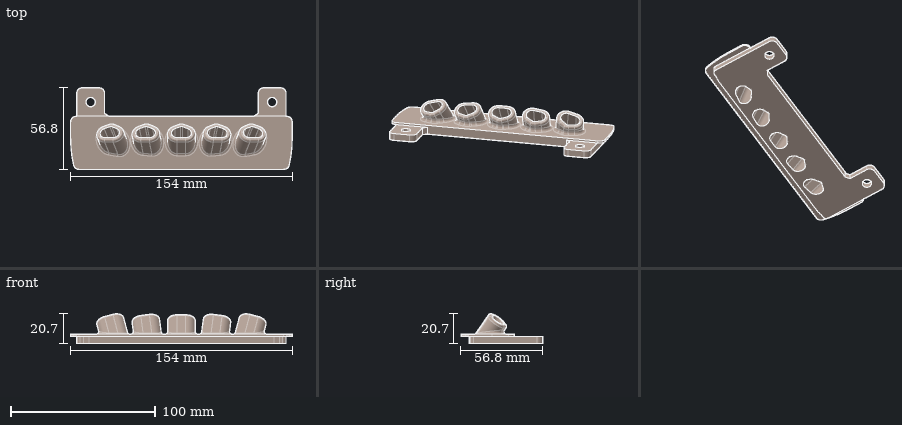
import cadquery as cq
import math

base_width = 145.5
base_thickness = 5.0
base_front = 5.5
base_back = 56.8
base_corner_radius = 2.5
front_ear_setback = 0.6
front_ear_width = 4.8
front_ear_slope_width = 3.7

tab_width = 19.5
tab_corner_radius = 4.0
tab_hole_diameter = 6.3
tab_hole_to_back = 10.0
tab_gusset_width = 2.9
tab_gusset_length = 2.0

plate_width = 154.0
plate_depth = 37.0
plate_thickness = 1.5
plate_straight_end_start = 21.5
plate_end_arc_radius = 82.0
plate_corner_radius = 4.0
plate_top = base_thickness + plate_thickness

sockets_per_side = 2
socket_pitch = 23.5
socket_fan_step = 7.5
socket_lean = 33.5
socket_center_y = 18.45
socket_length = 12.53
socket_wall = 2.75
socket_root_fillet = 1.75
socket_rim_fillet = 1.5

bore_half_width = 6.9
bore_roof_angle = 24.0
bore_side_radius = 3.9
bore_apex_radius = 1.7

buried_length = 12.0
bore_cut_reach = 30.0


def make_base():
    half = base_width / 2
    ear_x = half - front_ear_width
    slope_x = ear_x - front_ear_slope_width
    ear_y = base_front + front_ear_setback
    tab_x = half - tab_width
    right_side = [
        (slope_x, base_front),
        (ear_x, ear_y),
        (half, ear_y),
        (half, base_back),
        (tab_x, base_back),
        (tab_x, plate_depth + tab_gusset_length),
        (tab_x - tab_gusset_width, plate_depth),
    ]
    left_side = [(-x, y) for x, y in reversed(right_side)]
    slab = cq.Workplane("XY").polyline(right_side + left_side).close().extrude(base_thickness)
    slab = slab.edges("|Z").edges(">Y").fillet(tab_corner_radius)
    for side in (-1, 1):
        front_corner = cq.selectors.NearestToPointSelector((side * half, ear_y, base_thickness / 2))
        slab = slab.edges("|Z").edges(front_corner).fillet(base_corner_radius)
    hole_x = half - tab_width / 2
    hole_y = base_back - tab_hole_to_back
    holes = (
        cq.Workplane("XY")
        .pushPoints([(-hole_x, hole_y), (hole_x, hole_y)])
        .circle(tab_hole_diameter / 2)
        .extrude(base_thickness)
    )
    return slab.cut(holes)


def make_plate():
    half = plate_width / 2

    def end_x(y):
        drop = plate_straight_end_start - y
        return half - plate_end_arc_radius + math.sqrt(plate_end_arc_radius**2 - drop**2)

    mid_y = plate_straight_end_start / 2
    plate = (
        cq.Workplane("XY", origin=(0, 0, base_thickness))
        .moveTo(-end_x(0), 0)
        .lineTo(end_x(0), 0)
        .threePointArc((end_x(mid_y), mid_y), (half, plate_straight_end_start))
        .lineTo(half, plate_depth)
        .lineTo(-half, plate_depth)
        .lineTo(-half, plate_straight_end_start)
        .threePointArc((-end_x(mid_y), mid_y), (-end_x(0), 0))
        .close()
        .extrude(plate_thickness)
    )
    return plate.edges("|Z and (<Y or >Y)").fillet(plate_corner_radius)


def socket_prism(growth, bottom, top):
    """Prism with a flat front, one arc round each side and a ridged back, grown outward from the bore."""
    slope = math.radians(bore_roof_angle)
    side_radius = bore_side_radius + growth
    apex_radius = bore_apex_radius + growth
    half_width = bore_half_width + growth
    half_flat = half_width - side_radius
    roof_x = half_flat + side_radius * math.sin(slope)
    roof_y = side_radius * math.cos(slope)
    apex_x = apex_radius * math.sin(slope)
    apex_y = roof_y + (roof_x - apex_x) * math.tan(slope)
    apex_top = apex_y + apex_radius * (1 - math.cos(slope))
    return (
        cq.Workplane("XY", origin=(0, 0, bottom))
        .moveTo(-half_flat, -side_radius)
        .lineTo(half_flat, -side_radius)
        .threePointArc((half_width, 0), (roof_x, roof_y))
        .lineTo(apex_x, apex_y)
        .threePointArc((0, apex_top), (-apex_x, apex_y))
        .lineTo(-roof_x, roof_y)
        .threePointArc((-half_width, 0), (-half_flat, -side_radius))
        .close()
        .extrude(top - bottom)
    )


def place_socket(body, step):
    """Lean the body back, fan it sideways and move it to its place, counted outward from the middle."""
    leaned = body.rotate((0, 0, 0), (1, 0, 0), -socket_lean)
    fanned = leaned.rotate((0, 0, 0), (0, 1, 0), step * socket_fan_step)
    return fanned.translate((step * socket_pitch, socket_center_y, plate_top))


def add_socket_tube(body, step):
    """Join one socket tube to the plate and round its root where it meets the plate's top face."""
    tube = socket_prism(socket_wall, -buried_length, socket_length)
    tube = tube.faces(">Z").edges().fillet(socket_rim_fillet)
    below_plate = (
        cq.Workplane("XY", origin=(0, 0, base_thickness))
        .rect(2 * plate_width, 4 * plate_depth)
        .extrude(-2 * buried_length)
    )
    body = body.union(place_socket(tube, step).cut(below_plate))
    plate_surface = max(body.faces("+Z").vals(), key=lambda face: face.Area())
    newest_root = max(plate_surface.innerWires(), key=lambda wire: wire.Center().x)
    return body.newObject(newest_root.Edges()).fillet(socket_root_fillet)


def make_socket_plate():
    """Plate with a middle socket and equal rows of sockets to either side of it."""
    plate = make_plate()
    right_side = plate
    for step in range(1, sockets_per_side + 1):
        right_side = add_socket_tube(right_side, step)
    middle = add_socket_tube(plate, 0)
    return middle.union(right_side).union(right_side.mirror("YZ"))


def cut_bores(body):
    bore = socket_prism(0, -bore_cut_reach, bore_cut_reach)
    for step in range(-sockets_per_side, sockets_per_side + 1):
        body = body.cut(place_socket(bore, step))
    return body


result = cut_bores(make_socket_plate().union(make_base()))